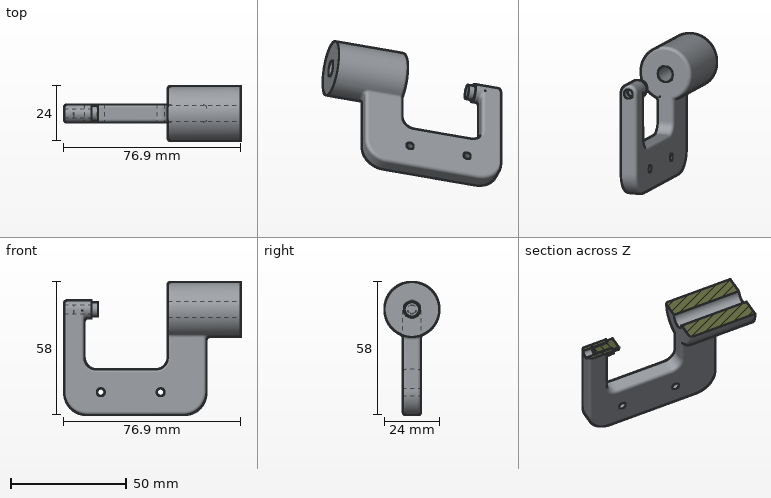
import cadquery as cq

bridge_height = 20.0
plate_thickness = 8.0
arm_width = 9.0
web_width = 17.0
outer_corner_radius = 10.0
inner_corner_radius = 5.0
edge_radius = 1.5

barrel_diameter = 24.0
barrel_start = 45.0
overall_length = 76.88
overall_height = 58.0
barrel_root_radius = 1.5
spindle_bore_diameter = 7.0

boss_diameter = plate_thickness
boss_length = 12.0
boss_root_radius = 1.0
boss_root_margin = 0.5

anvil_head_diameter = 6.34
anvil_head_length = 2.88
anvil_stem_diameter = 3.84
anvil_hole_diameter = 4.0
anvil_stem_recess = 4.0
anvil_stem_point = 0.08
anvil_stem_chamfer = 0.16

mounting_hole_diameter = 3.24
mounting_hole_spacing = 26.0
first_mounting_hole_x = 16.0
mounting_hole_z = bridge_height / 2

web_end = barrel_start + web_width
axis_z = overall_height - barrel_diameter / 2
boss_bottom_z = axis_z - boss_diameter / 2
barrel_bottom_z = axis_z - barrel_diameter / 2

margin = 0.1


def cylinder_along_x(diameter, start, end):
    """Cylinder on the measuring axis between two X positions."""
    base = cq.Workplane("YZ", origin=(start, 0, axis_z))
    return base.circle(diameter / 2).extrude(end - start)


def box_selector(x_range, z_range):
    """Select what is centred inside an X and Z range, at any Y."""
    return cq.selectors.BoxSelector(
        (x_range[0] - margin, -barrel_diameter, z_range[0] - margin),
        (x_range[1] + margin, barrel_diameter, z_range[1] + margin),
    )


def make_plate():
    """U-shaped plate with rounded corners and edges; both uprights end on the measuring axis."""
    outline = [
        (0, 0),
        (web_end, 0),
        (web_end, axis_z),
        (barrel_start, axis_z),
        (barrel_start, bridge_height),
        (arm_width, bridge_height),
        (arm_width, axis_z),
        (0, axis_z),
    ]
    plate = cq.Workplane("XZ").polyline(outline).close().extrude(plate_thickness / 2, both=True)

    outer_corners = box_selector((0, web_end), (0, 0))
    inner_corners = box_selector((arm_width, barrel_start), (bridge_height, bridge_height))
    plate = plate.edges("|Y").edges(outer_corners).fillet(outer_corner_radius)
    plate = plate.edges("|Y").edges(inner_corners).fillet(inner_corner_radius)

    below_tops = box_selector((0, web_end), (0, axis_z - edge_radius))
    for side in ("<Y", ">Y"):
        plate = plate.faces(side).edges(below_tops).fillet(edge_radius)
    return plate


def make_rounded_cylinder(diameter, start, end):
    """Cylinder on the measuring axis with its -X rim rounded."""
    return cylinder_along_x(diameter, start, end).faces("<X").edges().fillet(edge_radius)


def make_boss_root(plate, boss):
    """Arm and boss just below the measuring axis, with the corner under the boss filleted."""
    top = axis_z - boss_root_margin
    bottom = boss_bottom_z - 2 * boss_root_radius
    block = cq.Workplane("XY", origin=(0, 0, bottom)).rect(2 * boss_length, plate_thickness)
    root = plate.union(boss).intersect(block.extrude(top - bottom))
    corner = box_selector((arm_width - edge_radius, arm_width), (boss_bottom_z, top - 2 * margin))
    return root.edges(corner).fillet(boss_root_radius)


def round_barrel_root(frame):
    """Fillet the corner between the web and the barrel, around the sides and the rear of the web."""
    corner = box_selector((barrel_start, web_end), (barrel_bottom_z, barrel_bottom_z + edge_radius))
    return frame.edges(corner).fillet(barrel_root_radius)


def make_frame():
    """Plate, barrel and boss as one body, with its bores and mounting holes."""
    plate = make_plate()
    boss = make_rounded_cylinder(boss_diameter, 0, boss_length)
    barrel = make_rounded_cylinder(barrel_diameter, barrel_start, overall_length)

    frame = round_barrel_root(plate.union(barrel))
    frame = frame.union(boss).union(make_boss_root(plate, boss))
    frame = frame.cut(cylinder_along_x(anvil_hole_diameter, 0, boss_length))
    frame = frame.cut(cylinder_along_x(spindle_bore_diameter, barrel_start, overall_length))

    for index in range(2):
        hole_x = first_mounting_hole_x + index * mounting_hole_spacing
        hole = cq.Workplane("XZ", origin=(hole_x, 0, mounting_hole_z)).circle(mounting_hole_diameter / 2)
        frame = frame.cut(hole.extrude(plate_thickness, both=True))
    return frame


def make_anvil():
    """Headed anvil: the stem slides into the boss hole and the head rests on the end of the boss."""
    stem_radius = anvil_stem_diameter / 2
    cone_base_x = anvil_stem_recess + anvil_stem_point
    half_profile = [
        (anvil_stem_recess, 0),
        (cone_base_x, stem_radius - anvil_stem_chamfer),
        (cone_base_x + anvil_stem_chamfer, stem_radius),
        (boss_length, stem_radius),
        (boss_length, anvil_head_diameter / 2),
        (boss_length + anvil_head_length, anvil_head_diameter / 2),
        (boss_length + anvil_head_length, 0),
    ]
    profile = cq.Workplane("XZ", origin=(0, 0, axis_z)).polyline(half_profile).close()
    return profile.revolve(360, (0, 0, 0), (1, 0, 0))


frame = make_frame()
anvil = make_anvil()

result = cq.Compound.makeCompound([frame.val(), anvil.val()])